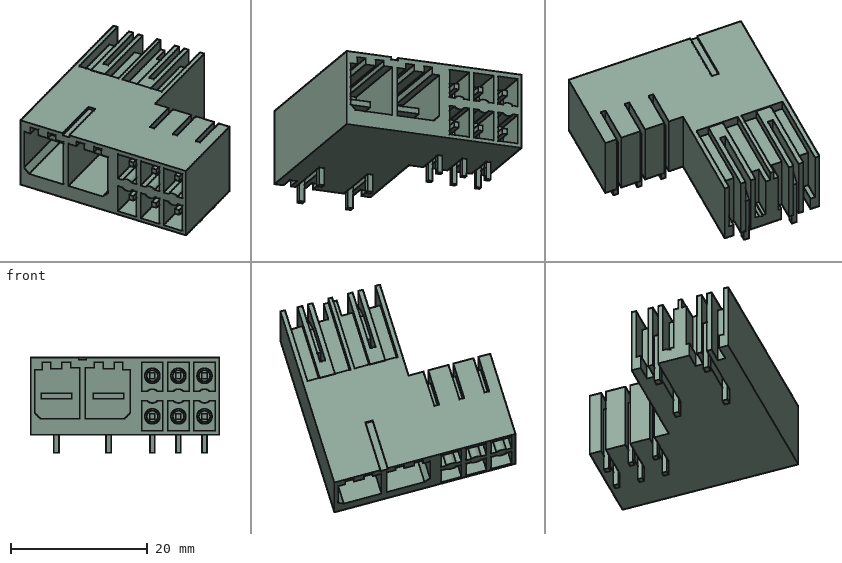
import cadquery as cq
import math

HOUSING_WIDTH = 27.65
HOUSING_LENGTH = 28.3
HOUSING_HEIGHT = 11.38
POWER_WIDTH = 15.2
SIGNAL_LENGTH = 13.27
MID_HEIGHT = HOUSING_HEIGHT / 2
LEG_LENGTH = 2.63

SIGNAL_COLUMNS = 3
SIGNAL_PITCH = 3.82
FIRST_SIGNAL_X = 17.83
SIGNAL_POCKET_WIDTH = 3.1
SIGNAL_POCKET_DEPTH = 5.65
UPPER_POCKET_TOP = 10.65
UPPER_POCKET_BOTTOM = 6.37
LOWER_POCKET_TOP = 5.05
LOWER_POCKET_BOTTOM = 0.6
KEY_ROD_RADIUS = 1.02
COLLAR_BASE_RADIUS = 1.1
COLLAR_TIP_RADIUS = 0.82
COLLAR_HEIGHT = 0.85

SIGNAL_PIN_WIDTH = 0.74
SIGNAL_PIN_HEIGHT = 0.82
SIGNAL_PIN_TIP_Y = 1.25
UPPER_PIN_Z = 8.65
LOWER_PIN_Z = 2.72
UPPER_LEG_Y = 11.77
LOWER_LEG_Y = 7.95

POWER_MIDDLE_X = POWER_WIDTH / 2
TERMINAL_X = 3.75
POWER_POCKET_DEPTH = 14.15
POWER_POCKET_BOTTOM = 2.38
POCKET_OUTER_X = 0.6
POCKET_INNER_X = 7.2
POCKET_CHAMFER = 0.85
OUTER_SHOULDER_Z = 9.57
INNER_SHOULDER_Z = 9.82
KEYWAY_TOP_Z = 10.65
KEY_BOTTOM_Z = 9.68
KEYWAY_HALF_SPAN = 2.1
KEY_HALF_WIDTH = 0.8

BLADE_WIDTH = 4.47
BLADE_THICKNESS = 0.85
BLADE_TIP_Y = 5.65
BLADE_END_Y = 15.85
ARM_WIDTH = 0.82
CROWN_START_Y = 21.6
TERMINAL_END_Y = 27.7
CROWN_CHAMFER = 2.3
POWER_LEG_LENGTH = 0.93
INNER_LEG_START_Y = 19.07

REAR_START_Y = 16.55
REAR_FLOOR_Z = 9.75
OUTER_WALL = 0.7
MIDDLE_WALL = 0.6
RIDGE_WIDTH = 2.32
RIDGE_DROP = 0.17
NOTCH_START_Y = 25.78
SHELF_Z = POWER_POCKET_BOTTOM
OUTER_SHELF_WIDTH = 0.74
INNER_NOTCH_WIDTH = 1.67
INNER_SHELF_WIDTH = 0.48
SHELF_GROOVE_WIDTH = 0.6
SHELF_GROOVE_RADIUS = 1.02

GROOVE_WIDTH = 1.1
GROOVE_LENGTH = 7.9
GROOVE_DEPTH = 0.37


def block(x_start, x_end, y_start, y_end, z_start, z_end):
    """Box given by its limits along each axis."""
    size = (x_end - x_start, y_end - y_start, z_end - z_start)
    return cq.Workplane("XY").box(*size, centered=False).translate((x_start, y_start, z_start))


def centred_block(x_middle, width, y_start, y_end, z_start, z_end):
    """Box centred on x_middle along X and given by its limits along Y and Z."""
    return block(x_middle - width / 2, x_middle + width / 2, y_start, y_end, z_start, z_end)


def mirrored(shape):
    """Copy of a left-hand power feature for the right-hand terminal."""
    return shape.mirror("YZ", (POWER_MIDDLE_X, 0, 0))


def signal_columns():
    """X position of each column of signal pins."""
    return [FIRST_SIGNAL_X + column * SIGNAL_PITCH for column in range(SIGNAL_COLUMNS)]


def make_signal_pin(x, z, leg_y):
    """Bent pin: a horizontal arm with a leg going down through the bottom of the housing."""
    leg_start = leg_y - SIGNAL_PIN_WIDTH / 2
    leg_end = leg_y + SIGNAL_PIN_WIDTH / 2
    bottom = z - SIGNAL_PIN_HEIGHT / 2
    top = z + SIGNAL_PIN_HEIGHT / 2
    arm = centred_block(x, SIGNAL_PIN_WIDTH, SIGNAL_PIN_TIP_Y, leg_end, bottom, top)
    leg = centred_block(x, SIGNAL_PIN_WIDTH, leg_start, leg_end, -LEG_LENGTH, top)
    return arm.union(leg)


def make_power_terminal():
    """Left-hand terminal: a wide blade, then a narrow arm with a raised crown and two legs."""
    blade_bottom = MID_HEIGHT - BLADE_THICKNESS / 2
    blade_top = MID_HEIGHT + BLADE_THICKNESS / 2
    crown_top = blade_top + CROWN_CHAMFER
    blade = centred_block(TERMINAL_X, BLADE_WIDTH, BLADE_TIP_Y, BLADE_END_Y, blade_bottom, blade_top)
    arm_outline = [
        (BLADE_END_Y, blade_bottom),
        (INNER_LEG_START_Y, blade_bottom),
        (INNER_LEG_START_Y, -LEG_LENGTH),
        (INNER_LEG_START_Y + POWER_LEG_LENGTH, -LEG_LENGTH),
        (INNER_LEG_START_Y + POWER_LEG_LENGTH, blade_bottom),
        (TERMINAL_END_Y - POWER_LEG_LENGTH, blade_bottom),
        (TERMINAL_END_Y - POWER_LEG_LENGTH, -LEG_LENGTH),
        (TERMINAL_END_Y, -LEG_LENGTH),
        (TERMINAL_END_Y, blade_top),
        (TERMINAL_END_Y - CROWN_CHAMFER, crown_top),
        (CROWN_START_Y, crown_top),
        (CROWN_START_Y, blade_top),
        (BLADE_END_Y, blade_top),
    ]
    arm = (
        cq.Workplane("YZ", origin=(TERMINAL_X, 0, 0))
        .polyline(arm_outline)
        .close()
        .extrude(ARM_WIDTH / 2, both=True)
    )
    return blade.union(arm)


def make_power_pocket():
    """Left-hand mating pocket with a key hanging between two keyways in its ceiling."""
    outline = [
        (POCKET_OUTER_X + POCKET_CHAMFER, POWER_POCKET_BOTTOM),
        (POCKET_INNER_X, POWER_POCKET_BOTTOM),
        (POCKET_INNER_X, INNER_SHOULDER_Z),
        (TERMINAL_X + KEYWAY_HALF_SPAN, INNER_SHOULDER_Z),
        (TERMINAL_X + KEYWAY_HALF_SPAN, KEYWAY_TOP_Z),
        (TERMINAL_X + KEY_HALF_WIDTH, KEYWAY_TOP_Z),
        (TERMINAL_X + KEY_HALF_WIDTH, KEY_BOTTOM_Z),
        (TERMINAL_X - KEY_HALF_WIDTH, KEY_BOTTOM_Z),
        (TERMINAL_X - KEY_HALF_WIDTH, KEYWAY_TOP_Z),
        (TERMINAL_X - KEYWAY_HALF_SPAN, KEYWAY_TOP_Z),
        (TERMINAL_X - KEYWAY_HALF_SPAN, OUTER_SHOULDER_Z),
        (POCKET_OUTER_X, OUTER_SHOULDER_Z),
        (POCKET_OUTER_X, POWER_POCKET_BOTTOM + POCKET_CHAMFER),
    ]
    return cq.Workplane("XZ").polyline(outline).close().extrude(-POWER_POCKET_DEPTH)


def make_rear_valleys():
    """Left-hand open recess behind the body, around a ridge that is split for the terminal."""
    inner_x = POWER_MIDDLE_X - MIDDLE_WALL / 2
    ridge_top = HOUSING_HEIGHT - RIDGE_DROP
    recess = block(OUTER_WALL, inner_x, REAR_START_Y, HOUSING_LENGTH, REAR_FLOOR_Z, HOUSING_HEIGHT)
    ridge = centred_block(TERMINAL_X, RIDGE_WIDTH, REAR_START_Y, HOUSING_LENGTH, 0, ridge_top)
    split = centred_block(TERMINAL_X, ARM_WIDTH, INNER_LEG_START_Y, HOUSING_LENGTH, 0, HOUSING_HEIGHT)
    return recess.cut(ridge).union(split)


def make_outer_notch():
    """Left-hand notch outside the ridge: open to the bottom beside a shelf on the wall."""
    notch_end = TERMINAL_X - RIDGE_WIDTH / 2
    shelf_end = OUTER_WALL + OUTER_SHELF_WIDTH
    above = block(OUTER_WALL, notch_end, NOTCH_START_Y, HOUSING_LENGTH, SHELF_Z, REAR_FLOOR_Z)
    opening = block(shelf_end, notch_end, NOTCH_START_Y, HOUSING_LENGTH, 0, SHELF_Z)
    return above.union(opening)


def make_inner_notch_above_shelf():
    """Left-hand notch inside the ridge, down to the shelf."""
    start = TERMINAL_X + RIDGE_WIDTH / 2
    return block(start, start + INNER_NOTCH_WIDTH, NOTCH_START_Y, HOUSING_LENGTH, SHELF_Z, REAR_FLOOR_Z)


def make_left_inner_opening():
    """Opening to the bottom beside the inner shelf of the left-hand terminal."""
    start = TERMINAL_X + RIDGE_WIDTH / 2
    end = start + INNER_NOTCH_WIDTH - INNER_SHELF_WIDTH
    return block(start, end, NOTCH_START_Y, HOUSING_LENGTH, 0, SHELF_Z)


def make_right_shelf_groove():
    """Groove along the inner shelf of the right-hand terminal: steep on one side, curved on the other."""
    shelf_start = POWER_WIDTH - TERMINAL_X - RIDGE_WIDTH / 2 - INNER_NOTCH_WIDTH
    groove_start = shelf_start + INNER_SHELF_WIDTH
    groove_end = groove_start + SHELF_GROOVE_WIDTH
    groove_depth = SHELF_GROOVE_RADIUS - math.sqrt(SHELF_GROOVE_RADIUS**2 - SHELF_GROOVE_WIDTH**2)
    return (
        cq.Workplane("XZ", origin=(0, HOUSING_LENGTH, 0))
        .moveTo(groove_start, SHELF_Z)
        .lineTo(groove_start, SHELF_Z - groove_depth)
        .radiusArc((groove_end, SHELF_Z), -SHELF_GROOVE_RADIUS)
        .close()
        .extrude(HOUSING_LENGTH - NOTCH_START_Y)
    )


def make_signal_cavity(x):
    """Both mating pockets of one column and the rear slot that takes their pins."""
    cavity = centred_block(
        x, SIGNAL_POCKET_WIDTH, 0, SIGNAL_POCKET_DEPTH, UPPER_POCKET_BOTTOM, UPPER_POCKET_TOP
    )
    cavity = cavity.union(
        centred_block(x, SIGNAL_POCKET_WIDTH, 0, SIGNAL_POCKET_DEPTH, LOWER_POCKET_BOTTOM, LOWER_POCKET_TOP)
    )
    key_rod = (
        cq.Workplane("XZ").center(x, MID_HEIGHT).circle(KEY_ROD_RADIUS).extrude(-SIGNAL_POCKET_DEPTH)
    )
    cavity = cavity.cut(key_rod)
    for z in (UPPER_PIN_Z, LOWER_PIN_Z):
        collar = cq.Solid.makeCone(
            COLLAR_BASE_RADIUS,
            COLLAR_TIP_RADIUS,
            COLLAR_HEIGHT,
            pnt=cq.Vector(x, SIGNAL_POCKET_DEPTH, z),
            dir=cq.Vector(0, -1, 0),
        )
        cavity = cavity.cut(cq.Workplane(obj=collar))
    slot_start = LOWER_LEG_Y - SIGNAL_PIN_WIDTH / 2
    slot = centred_block(x, SIGNAL_PIN_WIDTH, slot_start, SIGNAL_LENGTH, 0, HOUSING_HEIGHT)
    return cavity.union(slot)


def make_housing(seated_contacts):
    """Housing with every opening, and a matching seat for each contact."""
    body = block(0, POWER_WIDTH, 0, HOUSING_LENGTH, 0, HOUSING_HEIGHT)
    body = body.union(block(0, HOUSING_WIDTH, 0, SIGNAL_LENGTH, 0, HOUSING_HEIGHT))
    mirrored_features = [
        make_power_pocket(),
        make_rear_valleys(),
        make_outer_notch(),
        make_inner_notch_above_shelf(),
    ]
    for feature in mirrored_features:
        body = body.cut(feature).cut(mirrored(feature))
    body = body.cut(make_left_inner_opening())
    body = body.cut(make_right_shelf_groove())
    for x in signal_columns():
        body = body.cut(make_signal_cavity(x))
    groove_bottom = HOUSING_HEIGHT - GROOVE_DEPTH
    body = body.cut(
        centred_block(POWER_MIDDLE_X, GROOVE_WIDTH, 0, GROOVE_LENGTH, groove_bottom, HOUSING_HEIGHT)
    )
    for contact in seated_contacts:
        body = body.cut(contact)
    return body


signal_pins = []
for column_x in signal_columns():
    signal_pins.append(make_signal_pin(column_x, UPPER_PIN_Z, UPPER_LEG_Y))
    signal_pins.append(make_signal_pin(column_x, LOWER_PIN_Z, LOWER_LEG_Y))

left_terminal = make_power_terminal()
power_terminals = [left_terminal, mirrored(left_terminal)]

contacts = signal_pins + power_terminals
housing = make_housing(contacts)

result = cq.Compound.makeCompound([housing.val(), *[contact.val() for contact in contacts]])